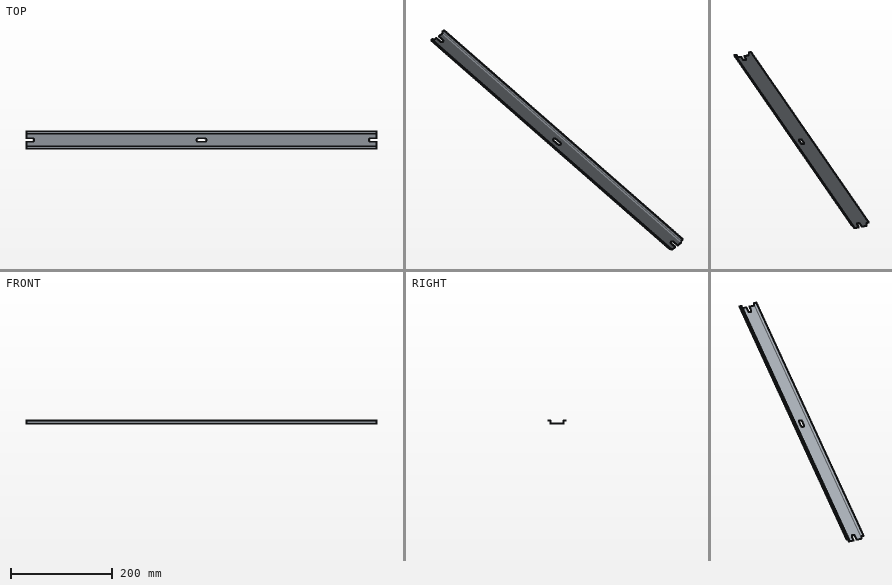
import cadquery as cq

length = 689.0
overall_width = 35.0
height = 7.5
channel_width = 27.0
thickness = 0.95
inner_bend_radius = 0.8
outer_bend_radius = inner_bend_radius + thickness

slot_width = 6.0
slot_length = 19.0
end_notch_depth = 15.0


def rail_body():
    """Sheet-metal hat section running along X, with its web on Z = 0."""
    half_width = overall_width / 2
    half_channel = channel_width / 2
    half_inside = half_channel - thickness
    flange_underside = height - thickness

    section = (
        cq.Workplane("YZ")
        .polyline([
            (-half_width, height),
            (-half_inside, height),
            (-half_inside, thickness),
            (half_inside, thickness),
            (half_inside, height),
            (half_width, height),
            (half_width, flange_underside),
            (half_channel, flange_underside),
            (half_channel, 0),
            (-half_channel, 0),
            (-half_channel, flange_underside),
            (-half_width, flange_underside),
        ])
        .close()
    )
    body = section.extrude(length / 2, both=True)

    inner_bends = [(half_inside, thickness), (half_channel, flange_underside)]
    outer_bends = [(half_channel, 0), (half_inside, height)]
    for bends, radius in ((inner_bends, inner_bend_radius), (outer_bends, outer_bend_radius)):
        for offset, level in bends:
            for side in (-1, 1):
                corner = cq.selectors.NearestToPointSelector((0, side * offset, level))
                body = body.edges("|X").edges(corner).fillet(radius)
    return body


def web_slot(centre_x, total_length):
    """Cutter for a round-ended slot through the web."""
    return (
        cq.Workplane("XY")
        .center(centre_x, 0)
        .slot2D(total_length, slot_width)
        .extrude(height)
    )


result = rail_body().cut(web_slot(0, slot_length))
for end_x in (-length / 2, length / 2):
    result = result.cut(web_slot(end_x, 2 * end_notch_depth))